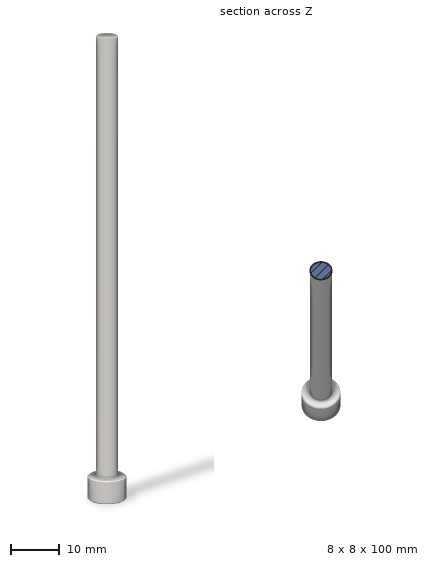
import cadquery as cq

total_length = 100.0
head_diameter = 8.0
head_height = 5.0
shank_diameter = 4.5

head_chamfer = 0.2
neck_fillet = 0.3


def make_head():
    """Round head standing on the XY plane, with both rims chamfered."""
    head = cq.Workplane("XY").circle(head_diameter / 2).extrude(head_height)
    return head.edges("%CIRCLE").chamfer(head_chamfer)


def make_shank():
    """Plain cylinder from the base of the head to the tip."""
    return cq.Workplane("XY").circle(shank_diameter / 2).extrude(total_length)


def round_neck(pin):
    """Fillet the inside corner where the shank leaves the head."""
    shank_rims = pin.edges(cq.selectors.RadiusNthSelector(0))
    return shank_rims.edges("<Z").fillet(neck_fillet)


result = round_neck(make_head().union(make_shank()))